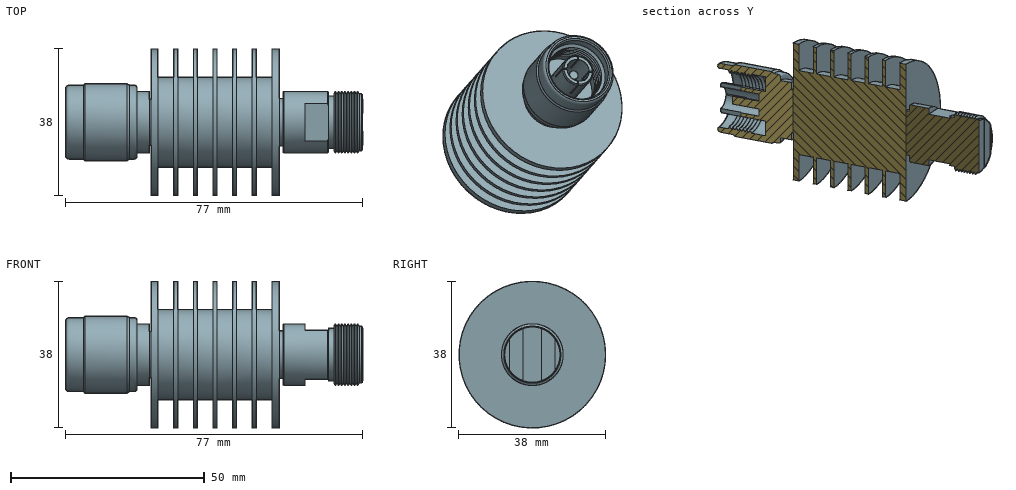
import cadquery as cq


sink_start = 22.15
sink_end = 55.3
flange_radius = 19.0
core_radius = 11.7
front_flange_width = 1.7
rear_flange_width = 1.9
fin_count = 5
fin_width = 1.07
fin_pitch = 5.08
first_fin_start = 27.97

rim_radius = 9.6
grip_radius = 10.0
tip_rounding_length = 1.0
tip_rounding_drop = 0.6
back_rounding = 0.8
grip_start = 4.6
grip_end = 16.55
grip_lead_in = 0.4
grip_lead_out = 0.7
nut_end = 18.5

plug_neck_radius = 8.0
plug_neck_end = 21.7
plug_joint_radius = 6.0

mouth_radius = 8.5
mouth_chamfer = 0.4
mouth_depth = 3.0
inner_thread_pitch = 1.0
inner_thread_turns = 7
inner_thread_crest_radius = 7.3
socket_floor = 14.0

sleeve_tip = 0.8
sleeve_radius = 4.15
sleeve_bore_radius = 3.0
sleeve_chamfer = 0.3
sleeve_bore_floor = 12.0
slot_width = 0.35
slot_depth = 6.0
pin_radius = 1.15
pin_recess = 3.5

jack_joint_radius = 6.2
barrel_start = 56.2
barrel_end = 68.05
barrel_radius = 8.0
barrel_chamfer = 0.3
wrench_flat_start = 62.0
wrench_flat_width = 12.75
relief_radius = 6.85
outer_thread_start = 69.4
outer_thread_pitch = 0.825
outer_thread_turns = 8
outer_thread_crest_radius = 8.0
outer_thread_root_radius = 7.4
jack_end = 77.0
end_pad_height = 0.2
end_chamfer = 0.25
end_pad_inner = 2.4
end_pad_outer = 5.9


def revolve_about_x(profile):
    """Close a profile drawn in (x, radius) and turn it once around the X axis."""
    return profile.close().revolve(360, (0, 0, 0), (1, 0, 0))


def disc(start, end, radius):
    return cq.Workplane("YZ", origin=(start, 0, 0)).circle(radius).extrude(end - start)


def thread_points(start, pitch, turns, root_radius, crest_radius):
    """Crest and closing root of each ridge of a V thread built from plain rings."""
    points = []
    for turn in range(turns):
        ridge_start = start + turn * pitch
        points.append((ridge_start + pitch / 2, crest_radius))
        points.append((ridge_start + pitch, root_radius))
    return points


def make_heat_sink():
    sink = disc(sink_start, sink_end, core_radius)
    sink = sink.union(disc(sink_start, sink_start + front_flange_width, flange_radius))
    sink = sink.union(disc(sink_end - rear_flange_width, sink_end, flange_radius))
    for index in range(fin_count):
        fin_start = first_fin_start + index * fin_pitch
        sink = sink.union(disc(fin_start, fin_start + fin_width, flange_radius))
    return sink


def make_plug_shell():
    """Coupling nut and neck as one turned blank."""
    tip_arc_radius = (tip_rounding_length**2 + tip_rounding_drop**2) / (2 * tip_rounding_drop)
    profile = (
        cq.Workplane("XY")
        .moveTo(0, 0)
        .lineTo(0, rim_radius - tip_rounding_drop)
        .radiusArc((tip_rounding_length, rim_radius), tip_arc_radius)
        .lineTo(grip_start, rim_radius)
        .lineTo(grip_start + grip_lead_in, grip_radius)
        .lineTo(grip_end - grip_lead_out, grip_radius)
        .lineTo(grip_end, rim_radius)
        .lineTo(nut_end - back_rounding, rim_radius)
        .radiusArc((nut_end, rim_radius - back_rounding), back_rounding)
        .lineTo(nut_end, plug_neck_radius)
        .lineTo(plug_neck_end, plug_neck_radius)
        .lineTo(plug_neck_end, plug_joint_radius)
        .lineTo(sink_start, plug_joint_radius)
        .lineTo(sink_start, 0)
    )
    return revolve_about_x(profile)


def make_plug_socket():
    """Threaded cavity of the coupling nut."""
    bore_radius = mouth_radius - mouth_chamfer
    profile = (
        cq.Workplane("XY")
        .moveTo(0, 0)
        .lineTo(0, mouth_radius)
        .lineTo(mouth_chamfer, bore_radius)
        .lineTo(mouth_depth, bore_radius)
    )
    ridges = thread_points(
        mouth_depth, inner_thread_pitch, inner_thread_turns, bore_radius, inner_thread_crest_radius
    )
    for point in ridges:
        profile = profile.lineTo(*point)
    profile = (
        profile
        .lineTo(socket_floor, bore_radius)
        .lineTo(socket_floor, 0)
    )
    return revolve_about_x(profile)


def make_contact_sleeve():
    """Slotted outer contact, open at its tip."""
    sleeve = disc(sleeve_tip, socket_floor, sleeve_radius).faces("<X").chamfer(sleeve_chamfer)
    sleeve = sleeve.cut(disc(sleeve_tip, sleeve_bore_floor, sleeve_bore_radius))
    slot = cq.Workplane("XY").box(slot_depth, 2 * sleeve_radius, slot_width, centered=(False, True, True))
    slot = slot.translate((sleeve_tip, 0, 0))
    for angle in (0, 90):
        sleeve = sleeve.cut(slot.rotate((0, 0, 0), (1, 0, 0), angle))
    return sleeve


def make_plug():
    plug = make_plug_shell().cut(make_plug_socket())
    plug = plug.union(make_contact_sleeve())
    return plug.union(disc(sleeve_tip + pin_recess, sleeve_bore_floor, pin_radius))


def make_barrel():
    """Round barrel with two wrench flats facing up and down."""
    barrel = disc(barrel_start, barrel_end, barrel_radius).faces("<X or >X").chamfer(barrel_chamfer)
    flat_length = barrel_end - wrench_flat_start
    flat_zone = disc(wrench_flat_start, barrel_end, barrel_radius)
    kept = cq.Workplane("XY").box(
        flat_length, 2 * barrel_radius, wrench_flat_width, centered=(False, True, True)
    )
    kept = kept.translate((wrench_flat_start, 0, 0))
    return barrel.cut(flat_zone.cut(kept))


def make_threaded_end():
    """Relief groove and ringed V thread, with a chamfered end."""
    end_face = jack_end - end_pad_height
    profile = (
        cq.Workplane("XY")
        .moveTo(barrel_end, 0)
        .lineTo(barrel_end, relief_radius)
        .lineTo(outer_thread_start, relief_radius)
        .lineTo(outer_thread_start, outer_thread_root_radius)
    )
    ridges = thread_points(
        outer_thread_start,
        outer_thread_pitch,
        outer_thread_turns,
        outer_thread_root_radius,
        outer_thread_crest_radius,
    )
    for point in ridges:
        profile = profile.lineTo(*point)
    profile = (
        profile
        .lineTo(end_face - end_chamfer, outer_thread_root_radius)
        .lineTo(end_face, outer_thread_root_radius - end_chamfer)
        .lineTo(end_face, 0)
    )
    return revolve_about_x(profile)


def make_end_pads():
    """Two shallow upright pads on the end face, one on each side of the axis."""
    end_face = jack_end - end_pad_height
    face_radius = outer_thread_root_radius - end_chamfer
    pad_width = end_pad_outer - end_pad_inner
    pad_center = (end_pad_outer + end_pad_inner) / 2
    strips = (
        cq.Workplane("YZ", origin=(end_face, 0, 0))
        .pushPoints([(-pad_center, 0), (pad_center, 0)])
        .rect(pad_width, 2 * face_radius)
        .extrude(end_pad_height)
    )
    return strips.intersect(disc(end_face, jack_end, face_radius))


def make_jack():
    jack = disc(sink_end, barrel_start, jack_joint_radius)
    jack = jack.union(make_barrel())
    jack = jack.union(make_threaded_end())
    return jack.union(make_end_pads())


plug = make_plug()
heat_sink = make_heat_sink()
jack = make_jack()

result = cq.Compound.makeCompound([plug.val(), heat_sink.val(), jack.val()])